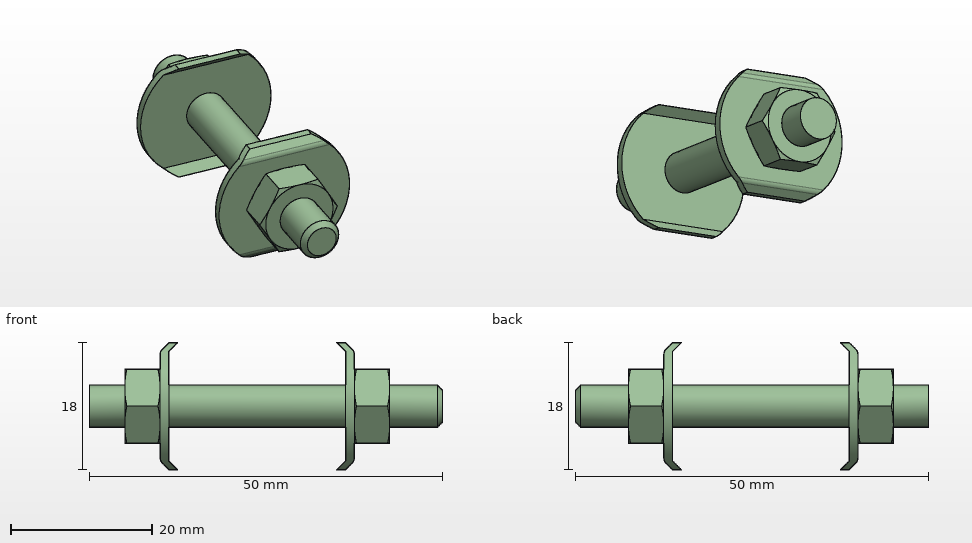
import cadquery as cq
import math

rod_length = 50
rod_diameter = 6
rod_chamfer = 0.75

nut_inset = 5
nut_outer_span = 37.5
nut_thickness = 5
nut_across_flats = 10.5
nut_across_corners = nut_across_flats / math.cos(math.radians(30))
nut_chamfer_angle = 20

washer_diameter = 20.4
washer_height = 18
washer_thickness = 1.25
flange_rise = 1.25
bend_radius = 1

nut_start = -rod_length / 2 + nut_inset
washer_start = nut_start + nut_thickness


def make_rod():
    rod = (
        cq.Workplane("YZ", origin=(-rod_length / 2, 0, 0))
        .circle(rod_diameter / 2)
        .extrude(rod_length)
    )
    return rod.faces(">X").chamfer(rod_chamfer)


def make_nut():
    """Hexagon intersected with a double-coned disc, which chamfers the corners at both ends."""
    hexagon = (
        cq.Workplane("YZ", origin=(nut_start, 0, 0))
        .polygon(6, nut_across_corners)
        .extrude(nut_thickness)
    )
    flat_radius = nut_across_flats / 2
    corner_radius = nut_across_corners / 2
    cone_depth = (corner_radius - flat_radius) * math.tan(math.radians(nut_chamfer_angle))
    envelope = (
        cq.Workplane("XY")
        .moveTo(nut_start, 0)
        .lineTo(nut_start, flat_radius)
        .lineTo(nut_start + cone_depth, corner_radius)
        .lineTo(washer_start - cone_depth, corner_radius)
        .lineTo(washer_start, flat_radius)
        .lineTo(washer_start, 0)
        .close()
        .revolve(360, (0, 0, 0), (1, 0, 0))
    )
    return hexagon.intersect(envelope)


def make_washer():
    """Bent strip trimmed to a round outline; its outer bends are rounded."""
    half_height = washer_height / 2
    bend_height = half_height - flange_rise
    inner_face = washer_start + washer_thickness
    strip = (
        cq.Workplane("XZ")
        .moveTo(washer_start, -bend_height)
        .lineTo(washer_start, bend_height)
        .lineTo(washer_start + flange_rise, half_height)
        .lineTo(inner_face + flange_rise, half_height)
        .lineTo(inner_face, bend_height)
        .lineTo(inner_face, -bend_height)
        .lineTo(inner_face + flange_rise, -half_height)
        .lineTo(washer_start + flange_rise, -half_height)
        .close()
        .extrude(washer_diameter / 2, both=True)
    )
    outer_bends = strip.faces("<X").edges("|Y")
    strip = outer_bends.fillet(bend_radius)
    disc = (
        cq.Workplane("YZ", origin=(washer_start, 0, 0))
        .circle(washer_diameter / 2)
        .extrude(washer_thickness + flange_rise)
    )
    return strip.intersect(disc)


fastener = make_nut().union(make_washer())
middle_of_nuts = nut_start + nut_outer_span / 2
far_fastener = fastener.mirror("YZ", (middle_of_nuts, 0, 0))
result = make_rod().union(fastener).union(far_fastener)